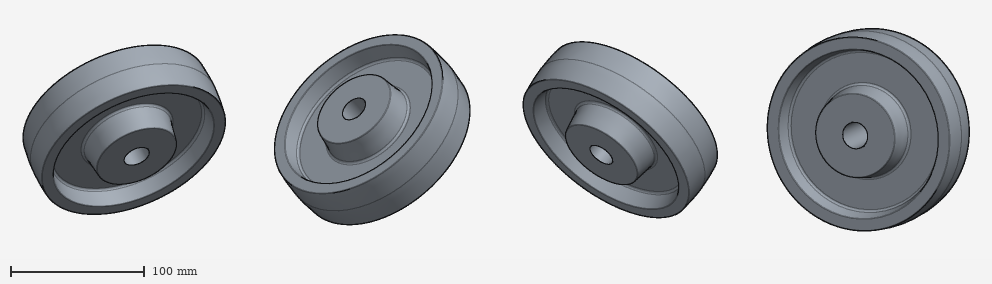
import cadquery as cq
import math

wheel_radius = 75.0
hub_half_width = 53.0 / 2
rim_half_width = 40.0 / 2
web_half_thickness = 6.0

tread_edge_radius = 73.5
rim_mouth_radius = 64.2
hub_face_radius = 32.0
bore_radius = 10.0

hub_draft = math.tan(math.radians(9))
rim_draft = math.tan(math.radians(12))
root_fillet = 2.0
edge_round = 0.5

crown_drop = wheel_radius - tread_edge_radius
crown_radius = (rim_half_width**2 + crown_drop**2) / (2 * crown_drop)
quarter_x = rim_half_width / 2
quarter_radius = wheel_radius - crown_radius + math.sqrt(crown_radius**2 - quarter_x**2)

rim_root_radius = rim_mouth_radius - (rim_half_width - web_half_thickness) * rim_draft
hub_root_radius = hub_face_radius + (hub_half_width - web_half_thickness) * hub_draft


def wheel_blank():
    """Revolve the rim, web and hub section, with the bore left open."""
    section = (
        cq.Workplane("XY")
        .moveTo(-hub_half_width, bore_radius)
        .lineTo(-hub_half_width, hub_face_radius)
        .lineTo(-web_half_thickness, hub_root_radius)
        .lineTo(-web_half_thickness, rim_root_radius)
        .lineTo(-rim_half_width, rim_mouth_radius)
        .lineTo(-rim_half_width, tread_edge_radius)
        .threePointArc((-quarter_x, quarter_radius), (0, wheel_radius))
        .threePointArc((quarter_x, quarter_radius), (rim_half_width, tread_edge_radius))
        .lineTo(rim_half_width, rim_mouth_radius)
        .lineTo(web_half_thickness, rim_root_radius)
        .lineTo(web_half_thickness, hub_root_radius)
        .lineTo(hub_half_width, hub_face_radius)
        .lineTo(hub_half_width, bore_radius)
        .close()
    )
    return section.revolve(360, (0, 0, 0), (1, 0, 0))


def circles_at(half_width, radii):
    """Select the circular edges of the given radii at both X = +/- half_width."""
    tolerance = 0.02
    selector = None
    for x in (-half_width, half_width):
        for radius in radii:
            outer = cq.selectors.BoxSelector(
                (x - tolerance, -radius - tolerance, -radius - tolerance),
                (x + tolerance, radius + tolerance, radius + tolerance),
                boundingbox=True,
            )
            inner_radius = radius - tolerance
            inner = cq.selectors.BoxSelector(
                (x - tolerance, -inner_radius, -inner_radius),
                (x + tolerance, inner_radius, inner_radius),
                boundingbox=True,
            )
            circle = outer - inner
            selector = circle if selector is None else selector + circle
    return selector


result = wheel_blank()
result = result.edges(circles_at(web_half_thickness, (hub_root_radius, rim_root_radius))).fillet(root_fillet)
result = result.edges(circles_at(hub_half_width, (hub_face_radius,))).fillet(edge_round)
result = result.edges(circles_at(rim_half_width, (rim_mouth_radius, tread_edge_radius))).fillet(edge_round)